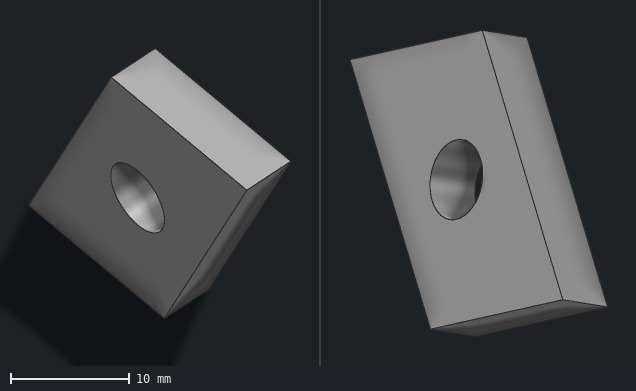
import cadquery as cq

overall_length = 27.83
height = 24.8
thickness = 5.0
edge_length = 17.3
hole_diameter = 6.85

half_length = overall_length / 2
half_height = height / 2

outline = [
    (-half_length, -half_height),
    (-half_length + edge_length, -half_height),
    (half_length, half_height),
    (half_length - edge_length, half_height),
]
back_face = cq.Workplane("XZ", origin=(0, thickness / 2, 0))
plate = back_face.polyline(outline).close().extrude(thickness)

hole = back_face.circle(hole_diameter / 2).extrude(thickness)

result = plate.cut(hole)